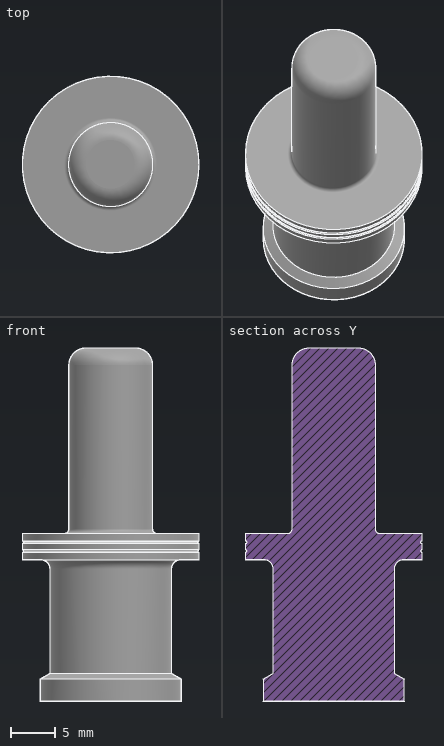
import cadquery as cq
import math

total_height = 40.0

foot_radius = 8.0
foot_height = 2.5
shoulder_angle = 30.0

body_diameter = 13.8
body_fillet = 1.0

flange_radius = 10.0
flange_bottom = 16.0
ring_count = 3
ring_pitch = 1.0
groove_width = 0.3
groove_depth = 0.15

pin_radius = 4.75
pin_base_fillet = 0.5
pin_tip_fillet = 2.0

body_radius = body_diameter / 2
shoulder_height = (foot_radius - body_radius) * math.tan(math.radians(shoulder_angle))
shoulder_top = foot_height + shoulder_height
flange_top = flange_bottom + ring_count * ring_pitch


def arc_offset(radius, angle):
    """Offset from a circle's centre to its point at the given angle in degrees."""
    return radius * math.cos(math.radians(angle)), radius * math.sin(math.radians(angle))


def revolved_blank():
    """Foot, body, flange and pin as one revolved (radius, height) outline."""
    dx, dz = arc_offset(body_fillet, 135)
    body_arc_middle = (body_radius + body_fillet + dx, flange_bottom - body_fillet + dz)
    dx, dz = arc_offset(pin_base_fillet, 225)
    base_arc_middle = (pin_radius + pin_base_fillet + dx, flange_top + pin_base_fillet + dz)
    dx, dz = arc_offset(pin_tip_fillet, 45)
    tip_arc_middle = (pin_radius - pin_tip_fillet + dx, total_height - pin_tip_fillet + dz)
    return (
        cq.Workplane("XZ")
        .lineTo(foot_radius, 0)
        .lineTo(foot_radius, foot_height)
        .lineTo(body_radius, shoulder_top)
        .lineTo(body_radius, flange_bottom - body_fillet)
        .threePointArc(body_arc_middle, (body_radius + body_fillet, flange_bottom))
        .lineTo(flange_radius, flange_bottom)
        .lineTo(flange_radius, flange_top)
        .lineTo(pin_radius + pin_base_fillet, flange_top)
        .threePointArc(base_arc_middle, (pin_radius, flange_top + pin_base_fillet))
        .lineTo(pin_radius, total_height - pin_tip_fillet)
        .threePointArc(tip_arc_middle, (pin_radius - pin_tip_fillet, total_height))
        .lineTo(0, total_height)
        .close()
        .revolve(360, (0, 0, 0), (0, 1, 0))
    )


def rim_groove(height):
    """V-section ring to remove from the flange rim, centred at the given height."""
    half_width = groove_width / 2
    return (
        cq.Workplane("XZ")
        .moveTo(flange_radius - groove_depth, height)
        .lineTo(flange_radius, height + half_width)
        .lineTo(flange_radius + groove_depth, height + half_width)
        .lineTo(flange_radius + groove_depth, height - half_width)
        .lineTo(flange_radius, height - half_width)
        .close()
        .revolve(360, (0, 0, 0), (0, 1, 0))
    )


result = revolved_blank()
for index in range(1, ring_count):
    result = result.cut(rim_groove(flange_bottom + index * ring_pitch))